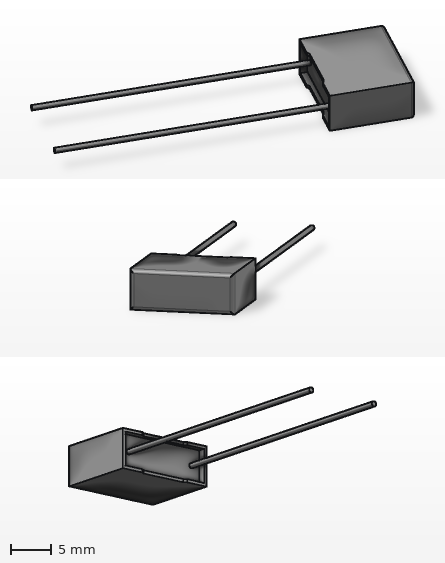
import cadquery as cq

total_length = 46.1
case_width = 13.3
case_length = 11.0
case_height = 5.2
wall = 0.4
back_edge_radius = 0.5

relief_depth = 0.28
relief_mouth_width = 7.1
relief_floor_width = 6.25

fill_recess = 0.9

lead_diameter = 0.7
lead_spacing = 10.0

rim_y = 0.0
back_y = rim_y + case_length
fill_face_y = rim_y + fill_recess
cavity_end_y = back_y - wall
lead_tip_y = back_y - total_length

cavity_width = case_width - 2 * wall
cavity_height = case_height - 2 * wall


def block(width, height, start_y, end_y):
    """Box centred on X and Z that runs from start_y to end_y."""
    length = end_y - start_y
    return cq.Workplane("XY").box(width, length, height).translate((0, start_y + length / 2, 0))


def make_relief():
    """Tapered cutter that passes through both broad walls."""
    return (
        cq.Workplane("XY")
        .moveTo(-relief_mouth_width / 2, rim_y)
        .lineTo(-relief_floor_width / 2, rim_y + relief_depth)
        .lineTo(relief_floor_width / 2, rim_y + relief_depth)
        .lineTo(relief_mouth_width / 2, rim_y)
        .close()
        .extrude(case_height / 2, both=True)
    )


def make_case():
    """Box open at -Y, with the edges around its closed back rounded."""
    shell = block(case_width, case_height, rim_y, back_y).faces(">Y").edges().fillet(back_edge_radius)
    cavity = block(cavity_width, cavity_height, rim_y, cavity_end_y)
    return shell.cut(cavity).cut(make_relief())


def make_filling():
    """Solid filling of the cavity, set back from the rim."""
    return block(cavity_width, cavity_height, fill_face_y, cavity_end_y)


def make_lead(x):
    """Straight round wire that starts on the face of the filling."""
    return (
        cq.Workplane("XZ", origin=(x, fill_face_y, 0))
        .circle(lead_diameter / 2)
        .extrude(fill_face_y - lead_tip_y)
    )


case = make_case()
filling = make_filling()
leads = []
for side in (-1, 1):
    leads.append(make_lead(side * lead_spacing / 2).val())

result = cq.Compound.makeCompound([case.val(), filling.val(), *leads])